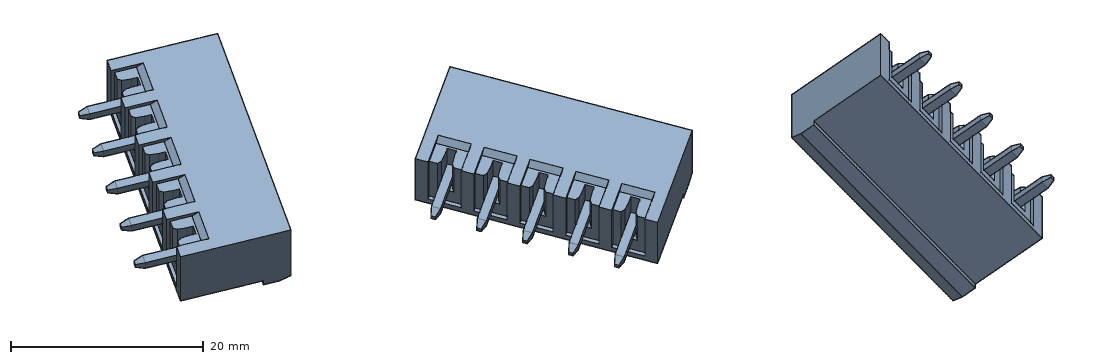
import cadquery as cq

pole_count = 5
pole_pitch = 5.0
end_margin = 3.2
housing_length = (pole_count - 1) * pole_pitch + 2 * end_margin
housing_depth = 12.0
overall_height = 8.5

foot_height = 0.7
foot_depth = 3.0
foot_bevel_run = 1.25
foot_bevel_rise = 0.45

recess_width = 3.6
recess_floor_z = 1.5
recess_depth = 0.4
land_drop = 0.45
land_rear = 2.75
bevel_rear = 3.5

pin_size = 1.0
pin_center_z = 4.6
pin_protrusion = 4.0
pin_root = 2.5
pin_tip_length = 1.0
pin_tip_size = 0.5

slot_mouth_width = 1.8
slot_throat_width = 1.2
slot_flare_depth = 0.4
slot_taper_depth = 1.0
slot_throat_y = recess_depth + slot_flare_depth
slot_taper_end_y = slot_throat_y + slot_taper_depth
slot_mouth_floor_z = 3.45
slot_pin_gap = 0.1
slot_rear_floor_z = pin_center_z - pin_size / 2 - slot_pin_gap


def extrude_side_profile(points, width, x_center):
    """Extrude a closed (Y, Z) outline along X, centred on x_center."""
    return (
        cq.Workplane("YZ", origin=(x_center - width / 2, 0, 0))
        .polyline(points)
        .close()
        .extrude(width)
    )


def make_housing():
    """Solid block with the bevelled foot along its rear underside."""
    outline = [
        (0, foot_height),
        (housing_depth - foot_depth, foot_height),
        (housing_depth - foot_depth, 0),
        (housing_depth - foot_bevel_run, 0),
        (housing_depth, foot_bevel_rise),
        (housing_depth, overall_height),
        (0, overall_height),
    ]
    return extrude_side_profile(outline, housing_length, 0)


def make_recess(x_center):
    """Front recess plus the shallow bevelled step above the land."""
    land_z = overall_height - land_drop
    outline = [
        (0, recess_floor_z),
        (recess_depth, recess_floor_z),
        (recess_depth, land_z),
        (land_rear, land_z),
        (bevel_rear, overall_height),
        (0, overall_height),
    ]
    return extrude_side_profile(outline, recess_width, x_center)


def make_slot(x_center):
    """Slot open at the top, with walls tapering in two stages and a floor rising close to the pin."""
    plan = [
        (-slot_mouth_width / 2, recess_depth),
        (slot_mouth_width / 2, recess_depth),
        (slot_throat_width / 2, slot_throat_y),
        (pin_size / 2, slot_taper_end_y),
        (pin_size / 2, pin_root),
        (-pin_size / 2, pin_root),
        (-pin_size / 2, slot_taper_end_y),
        (-slot_throat_width / 2, slot_throat_y),
    ]
    tapered_walls = (
        cq.Workplane("XY", origin=(x_center, 0, 0))
        .polyline(plan)
        .close()
        .extrude(overall_height)
    )
    side = [
        (recess_depth, slot_mouth_floor_z),
        (slot_taper_end_y, slot_rear_floor_z),
        (pin_root, slot_rear_floor_z),
        (pin_root, overall_height),
        (recess_depth, overall_height),
    ]
    return tapered_walls.intersect(extrude_side_profile(side, slot_mouth_width, x_center))


def make_pin(x_center):
    """Square pin pointing along -Y with a pyramidal tip."""
    shank_length = pin_root + pin_protrusion - pin_tip_length
    shank = (
        cq.Workplane("XZ", origin=(x_center, pin_root, pin_center_z))
        .rect(pin_size, pin_size)
        .extrude(shank_length)
    )
    tip = (
        cq.Workplane("XZ", origin=(x_center, pin_root - shank_length, pin_center_z))
        .rect(pin_size, pin_size)
        .workplane(offset=pin_tip_length)
        .rect(pin_tip_size, pin_tip_size)
        .loft()
    )
    return shank.union(tip)


result = make_housing()
for pole in range(pole_count):
    pole_x = (pole - (pole_count - 1) / 2) * pole_pitch
    result = result.cut(make_recess(pole_x))
    result = result.cut(make_slot(pole_x))
    result = result.union(make_pin(pole_x))